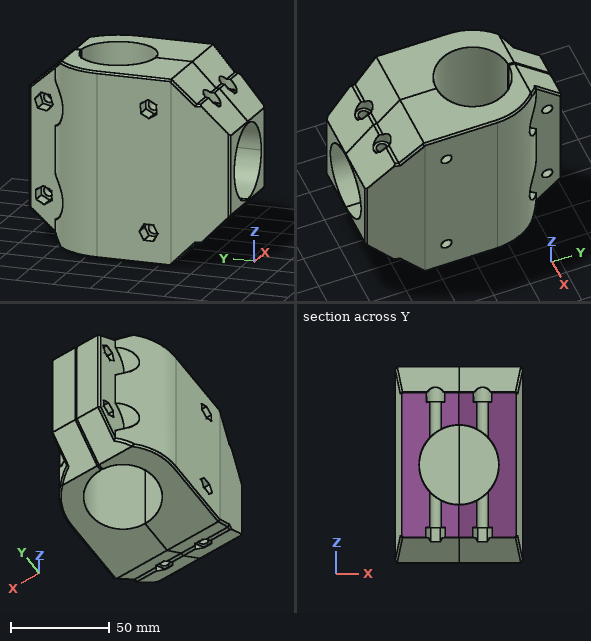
import cadquery as cq


width = 65.0
height = 100.0
front_y = -70.0
rear_y = 43.15
edge_chamfer = 1.0
taper_start_y = -40.0
nose_width = 52.3
ear_width = 30.0

rear_slope_start_y = 23.25
rear_face_half_height = 32.5
step_half_height = 37.2
step_end_y = -54.7
nose_half_height = 21.25

bore_diameter = 40.0
socket_diameter = 40.5
socket_depth = 30.0

gap = 1.0

screw_diameter = 5.75
head_diameter = 9.0
nut_corner_diameter = 10.0
nose_nut_corner_diameter = 9.6
spotface_diameter = 27.5
side_nut_depth = 8.0
nose_screw_x = 12.0
nose_screw_y = -55.0
nose_seat_half_height = 32.0
ear_screw_y = 35.0
ear_screw_z = 25.0
middle_screw_y = -28.0
middle_screw_z = 33.0

ear_screws = [(ear_screw_y, ear_screw_z, 12.0), (ear_screw_y, -ear_screw_z, 27.0)]
middle_screws = [(middle_screw_y, middle_screw_z, 28.0), (middle_screw_y, -middle_screw_z, 1.5)]


def body_plan():
    """Full-height prism with a round rear end and a tapered nose."""
    half = width / 2
    nose = nose_width / 2
    return (
        cq.Workplane("XY", origin=(0, 0, -height / 2))
        .moveTo(-nose, front_y)
        .lineTo(nose, front_y)
        .lineTo(half, taper_start_y)
        .lineTo(half, 0)
        .threePointArc((0, half), (-half, 0))
        .lineTo(-half, taper_start_y)
        .close()
        .extrude(height)
    )


def ear_plan():
    """Full-height prism of both ears, rooted inside the round end."""
    return cq.Workplane("XY").box(ear_width, rear_y, height).translate((0, rear_y / 2, 0))


def profile_prism(upper_points):
    """Full-width prism from the upper half of a side profile, mirrored about mid height."""
    lower_points = [(y, -z) for y, z in reversed(upper_points)]
    return (
        cq.Workplane("YZ")
        .polyline(upper_points + lower_points)
        .close()
        .extrude(width / 2, both=True)
    )


def chamfer_rims(block):
    """Chamfer every edge where the side walls meet the end, top, bottom and sloping faces."""
    return block.faces("#X").edges("not |X").chamfer(edge_chamfer)


def outer_block():
    """Outside shape of the whole clamp, before any holes."""
    half_height = height / 2
    step_start_y = taper_start_y - (half_height - step_half_height)
    stepped = profile_prism(
        [
            (rear_y, rear_face_half_height),
            (rear_slope_start_y, half_height),
            (taper_start_y, half_height),
            (step_start_y, step_half_height),
            (front_y, step_half_height),
        ]
    )
    nose_limit = profile_prism(
        [
            (rear_y, half_height),
            (step_end_y, half_height),
            (step_end_y, step_half_height),
            (front_y, nose_half_height),
        ]
    )
    body = chamfer_rims(body_plan().intersect(stepped))
    ears = chamfer_rims(ear_plan().intersect(stepped))
    return body.union(ears).intersect(nose_limit)


def tube_seats():
    """Vertical tube bore and the blind socket in the front face."""
    bore = cq.Workplane("XY").circle(bore_diameter / 2).extrude(height / 2, both=True)
    socket = (
        cq.Workplane("XZ", origin=(0, front_y, 0))
        .circle(socket_diameter / 2)
        .extrude(-socket_depth)
    )
    return bore.union(socket)


def spotface(y, z, side):
    """Flat recess level with the ear's outer face; side is -1 or 1."""
    return (
        cq.Workplane("YZ", origin=(side * ear_width / 2, y, z))
        .circle(spotface_diameter / 2)
        .extrude(side * width / 2)
    )


def cross_screw(y, z, nut_turn, nut_face_x):
    """Screw hole along X with a hexagonal nut pocket sunk from nut_face_x."""
    hole = (
        cq.Workplane("YZ", origin=(0, y, z))
        .circle(screw_diameter / 2)
        .extrude(width / 2, both=True)
    )
    nut = (
        cq.Workplane("YZ", origin=(nut_face_x, y, z))
        .transformed(rotate=(0, 0, nut_turn))
        .polygon(6, nut_corner_diameter)
        .extrude(side_nut_depth)
    )
    return hole.union(nut)


def nose_screw(x):
    """Vertical hole with a round head seat above and a hexagonal nut pocket below."""
    center = (x, nose_screw_y)
    hole = (
        cq.Workplane("XY")
        .center(*center)
        .circle(screw_diameter / 2)
        .extrude(height / 2, both=True)
    )
    head = (
        cq.Workplane("XY", origin=(0, 0, nose_seat_half_height))
        .center(*center)
        .circle(head_diameter / 2)
        .extrude(height / 2)
    )
    nut = (
        cq.Workplane("XY", origin=(0, 0, -nose_seat_half_height))
        .center(*center)
        .polygon(6, nose_nut_corner_diameter)
        .extrude(-height / 2)
    )
    return hole.union(head).union(nut)


def clamp_block():
    """Both halves of the clamp as one block, with all holes cut."""
    block = outer_block().cut(tube_seats())
    for y, z, nut_turn in ear_screws:
        for side in (-1, 1):
            block = block.cut(spotface(y, z, side))
        block = block.cut(cross_screw(y, z, nut_turn, -ear_width / 2))
    for y, z, nut_turn in middle_screws:
        block = block.cut(cross_screw(y, z, nut_turn, -width / 2))
    for x in (-nose_screw_x, nose_screw_x):
        block = block.cut(nose_screw(x))
    return block


def half_space(side):
    """Box filling everything on one side of the parting plane x = 0."""
    length = rear_y - front_y
    return cq.Workplane("XY").box(width / 2, length, height).translate(
        (side * width / 4, (front_y + rear_y) / 2, 0)
    )


def ear_gap():
    """Slot between the ears, taken wholly from the left half."""
    return cq.Workplane("XY").box(gap, rear_y, height).translate((-gap / 2, rear_y / 2, 0))


whole_clamp = clamp_block()
left_half = whole_clamp.intersect(half_space(-1)).cut(ear_gap()).solids()
right_half = whole_clamp.intersect(half_space(1)).solids()

result = cq.Compound.makeCompound([left_half.val(), right_half.val()])